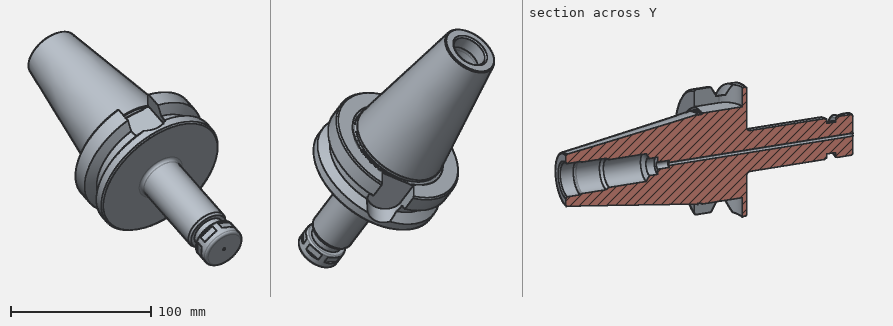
import cadquery as cq
import math


axis = ((0, 0, 0), (1, 0, 0))

total_length = 221.8

taper_rate = 7 / 24
taper_length = 101.8
gauge_dia = 69.9
small_dia = gauge_dia - taper_length * taper_rate
small_end_chamfer = 0.7
neck_dia = 68.8
neck_length = 2.7
neck_fillet = 0.9
neck_chamfer = (gauge_dia - neck_dia) / 2

flange_dia = 100.0
flange_width = 35.5
flange_edge = 1.0
recess_dia = 74.0
recess_depth = 0.9
groove_floor_dia = 85.2
groove_floor_width = 6.5
groove_half_angle = math.radians(30)
groove_floor_start = 17.3

slot_width = 25.7
slot_floor_radius = 35.3
slot_end = 31.7

nose_dia = 32.0
nose_end = 201.6
nose_root_fillet = 2.5
nose_end_taper = 2.0
nose_end_drop = 1.0
stem_dia = 24.0

nut_start = 208.3
nut_rear_fillet = 1.3
nut_front_fillet = 2.0
flat_count = 6
flat_radius = 14.9
flat_length = 5.3
flat_ramp = 0.9
pocket_height = 1.8
flat_offset = 2.0

mouth_dia = 28.0
mouth_chamfer = 1.0
bore_dia = 25.3
bore_depth = 11.0
shoulder_dia = 24.5
shoulder_length = 0.9
thread_dia = 24.0
thread_lead_in = 0.9
thread_end = 31.0
thread_runout = 2.5
core_dia = 21.0
core_depth = 62.0
drill_half_angle = math.radians(59)
pilot_dia = 12.9
pilot_depth = 71.0
nozzle_dia = 5.0
nozzle_depth = 79.8
coolant_dia = 2.0

flange_rear = taper_length + neck_length
flange_front = flange_rear + flange_width
recess_floor = flange_rear + recess_depth


def cylinder_x(diameter, start, end):
    return cq.Workplane("YZ", origin=(start, 0, 0)).circle(diameter / 2).extrude(end - start)


def make_shank():
    taper_start_radius = small_dia / 2 + small_end_chamfer * taper_rate
    outline = (
        cq.Workplane("XY")
        .lineTo(0, small_dia / 2 - small_end_chamfer)
        .lineTo(small_end_chamfer, taper_start_radius)
        .lineTo(taper_length, gauge_dia / 2)
        .lineTo(taper_length + neck_chamfer, neck_dia / 2)
        .lineTo(recess_floor - neck_fillet, neck_dia / 2)
        .radiusArc((recess_floor, neck_dia / 2 + neck_fillet), -neck_fillet)
        .lineTo(recess_floor, 0)
        .close()
    )
    return outline.revolve(360, *axis)


def make_flange():
    disc = cylinder_x(flange_dia, flange_rear, flange_front).edges().chamfer(flange_edge)
    floor_radius = groove_floor_dia / 2
    outer_radius = flange_dia / 2
    flank = (outer_radius - floor_radius) * math.tan(groove_half_angle)
    floor_start = flange_rear + groove_floor_start
    floor_end = floor_start + groove_floor_width
    groove = (
        cq.Workplane("XY")
        .moveTo(floor_start, floor_radius)
        .lineTo(floor_end, floor_radius)
        .lineTo(floor_end + flank, outer_radius)
        .lineTo(floor_start - flank, outer_radius)
        .close()
        .revolve(360, *axis)
    )
    recess = cylinder_x(recess_dia, flange_rear, recess_floor)
    return disc.cut(groove).cut(recess)


def make_drive_slot():
    """Round-ended slot on the +Z side, open towards the taper."""
    far_end = flange_rear + slot_end
    end_centre = far_end - slot_width / 2
    return (
        cq.Workplane("XY", origin=(0, 0, slot_floor_radius))
        .moveTo(flange_rear, -slot_width / 2)
        .lineTo(end_centre, -slot_width / 2)
        .threePointArc((far_end, 0), (end_centre, slot_width / 2))
        .lineTo(flange_rear, slot_width / 2)
        .close()
        .extrude(flange_dia / 2 - slot_floor_radius)
    )


def make_nose():
    root_radius = nose_dia / 2 + nose_root_fillet
    outline = (
        cq.Workplane("XY")
        .moveTo(flange_front, 0)
        .lineTo(flange_front, root_radius)
        .radiusArc((flange_front + nose_root_fillet, nose_dia / 2), -nose_root_fillet)
        .lineTo(nose_end - nose_end_taper, nose_dia / 2)
        .lineTo(nose_end, nose_dia / 2 - nose_end_drop)
        .lineTo(nose_end, stem_dia / 2)
        .lineTo(nut_start, stem_dia / 2)
        .lineTo(nut_start, 0)
        .close()
    )
    return outline.revolve(360, *axis)


def make_nut():
    nut = cylinder_x(nose_dia, nut_start, total_length)
    nut = nut.faces("<X").edges().fillet(nut_rear_fillet)
    nut = nut.faces(">X").edges().fillet(nut_front_fillet)
    flat_start = nut_start + flat_offset
    flat_end = flat_start + flat_length
    pocket = (
        cq.Workplane("XY")
        .moveTo(flat_start, flat_radius)
        .lineTo(flat_end, flat_radius)
        .lineTo(flat_end + flat_ramp, flat_radius + pocket_height)
        .lineTo(flat_start - flat_ramp, flat_radius + pocket_height)
        .close()
        .extrude(nose_dia / 2, both=True)
    )
    for index in range(flat_count):
        nut = nut.cut(pocket.rotate(*axis, index * 360 / flat_count))
    return nut


def make_bore():
    shoulder_end = bore_depth + shoulder_length
    drill_tip_length = (core_dia - pilot_dia) / 2 / math.tan(drill_half_angle)
    outline = (
        cq.Workplane("XY")
        .lineTo(0, mouth_dia / 2)
        .lineTo(mouth_chamfer, bore_dia / 2)
        .lineTo(bore_depth, bore_dia / 2)
        .lineTo(shoulder_end, shoulder_dia / 2)
        .lineTo(shoulder_end + thread_lead_in, thread_dia / 2)
        .lineTo(thread_end, thread_dia / 2)
        .lineTo(thread_end + thread_runout, core_dia / 2)
        .lineTo(core_depth, core_dia / 2)
        .lineTo(core_depth + drill_tip_length, pilot_dia / 2)
        .lineTo(pilot_depth, pilot_dia / 2)
        .lineTo(pilot_depth, nozzle_dia / 2)
        .lineTo(nozzle_depth, nozzle_dia / 2)
        .lineTo(nozzle_depth, coolant_dia / 2)
        .lineTo(total_length, coolant_dia / 2)
        .lineTo(total_length, 0)
        .close()
    )
    return outline.revolve(360, *axis)


result = make_shank().union(make_flange()).union(make_nose()).union(make_nut())
for angle in (0, 180):
    result = result.cut(make_drive_slot().rotate(*axis, angle))
result = result.cut(make_bore())